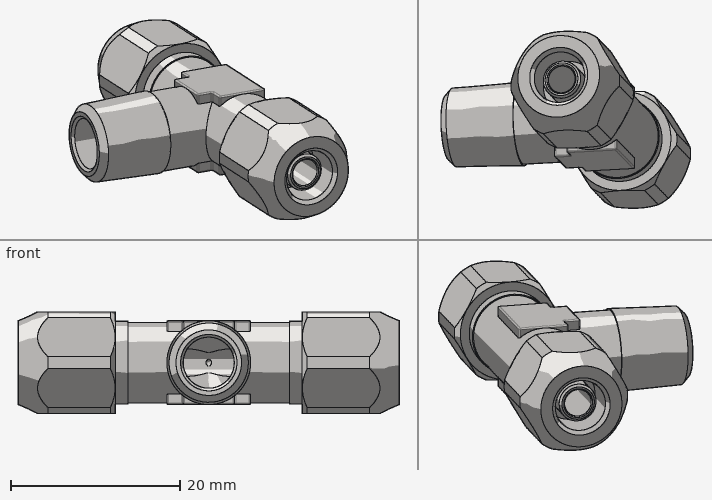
import cadquery as cq
import math

run_length = 45.0
body_radius = 4.75

nut_length = 11.48
nut_across_flats = 12.0
nut_corner_radius = 6.55
nut_nose_radius = 4.95
nut_nose_length = 3.5
nut_back_chamfer = 0.6
nut_bore_radius = 3.05
nut_bore_chamfer = 0.45
nut_bore_depth = 5.4

collar_radius = 4.9
collar_length = 1.5

insert_radius = 2.25
insert_tip_chamfer = 0.25
insert_recess = 1.5
insert_bore_chamfer = 0.15
run_bore_radius = 1.6

branch_length = 18.5
thread_start = 9.55
thread_radius = 4.95
thread_tip_radius = 4.7
branch_end_chamfer = 0.8
branch_bore_radius = 3.0
branch_bore_chamfer = 0.3
drill_point_angle = 118.0

pad_height = 4.95
pad_half_width = 4.95
pad_half_depth = 3.0
pad_stem_half_width = 3.0
pad_stem_reach = 4.95
pad_edge_radius = 0.2

half_run = run_length / 2
nut_back = half_run - nut_length


def run_profile(points):
    """Revolve (x, radius) points about the X axis."""
    return cq.Workplane("XY").polyline(points).close().revolve(360, (0, 0, 0), (1, 0, 0))


def branch_profile(points):
    """Revolve (radius, distance from the run axis) points about the branch axis."""
    placed = [(radius, -distance) for radius, distance in points]
    return cq.Workplane("XY").polyline(placed).close().revolve(360, (0, 0, 0), (0, 1, 0))


def make_nut():
    """Hexagonal nut on the +X end, with flats facing up and down and its bore around the insert."""
    hexagon = (
        cq.Workplane("YZ", origin=(nut_back, 0, 0))
        .polygon(6, nut_across_flats / math.cos(math.pi / 6))
        .extrude(nut_length)
    )
    envelope = run_profile([
        (nut_back, 0),
        (nut_back, nut_corner_radius - nut_back_chamfer),
        (nut_back + nut_back_chamfer, nut_corner_radius),
        (half_run - nut_nose_length, nut_corner_radius),
        (half_run, nut_nose_radius),
        (half_run, 0),
    ])
    insert_tip = half_run - insert_recess
    bore_floor = half_run - nut_bore_depth
    recess = run_profile([
        (bore_floor, insert_radius),
        (bore_floor, nut_bore_radius),
        (half_run - nut_bore_chamfer, nut_bore_radius),
        (half_run, nut_bore_radius + nut_bore_chamfer),
        (half_run, 0),
        (insert_tip - insert_bore_chamfer, 0),
        (insert_tip - insert_bore_chamfer, run_bore_radius),
        (insert_tip, run_bore_radius + insert_bore_chamfer),
        (insert_tip, insert_radius - insert_tip_chamfer),
        (insert_tip - insert_tip_chamfer, insert_radius),
    ])
    return hexagon.intersect(envelope).cut(recess)


def make_run():
    """Round body with a raised collar against each nut."""
    collar_start = nut_back - collar_length
    body = cq.Workplane("YZ").circle(body_radius).extrude(nut_back, both=True)
    for start in (collar_start, -nut_back):
        collar = cq.Workplane("YZ", origin=(start, 0, 0)).circle(collar_radius).extrude(collar_length)
        body = body.union(collar)
    return body


def make_branch():
    """Plain neck, tapered thread and chamfered end."""
    return branch_profile([
        (0, 0),
        (body_radius, 0),
        (body_radius, thread_start),
        (thread_radius, thread_start),
        (thread_tip_radius, branch_length - branch_end_chamfer),
        (thread_tip_radius - branch_end_chamfer, branch_length),
        (0, branch_length),
    ])


def make_pad():
    """T-shaped pad rising from the body, with rounded edges around its top."""
    wings = cq.Workplane("XY").rect(2 * pad_half_width, 2 * pad_half_depth).extrude(pad_height)
    stem = (
        cq.Workplane("XY", origin=(0, -pad_stem_reach / 2, 0))
        .rect(2 * pad_stem_half_width, pad_stem_reach)
        .extrude(pad_height)
    )
    return wings.union(stem).edges("|Z or >Z").fillet(pad_edge_radius)


def make_branch_bore():
    """Drilled branch hole with a conical bottom and a countersunk mouth."""
    point_depth = branch_bore_radius / math.tan(math.radians(drill_point_angle / 2))
    return branch_profile([
        (0, -point_depth),
        (branch_bore_radius, 0),
        (branch_bore_radius, branch_length - branch_bore_chamfer),
        (branch_bore_radius + branch_bore_chamfer, branch_length),
        (0, branch_length),
    ])


nut = make_nut()
pad = make_pad()
run_bore = cq.Workplane("YZ").circle(run_bore_radius).extrude(half_run, both=True)

result = (
    make_run()
    .union(make_branch())
    .union(pad)
    .union(pad.mirror("XY"))
    .union(nut)
    .union(nut.mirror("YZ"))
    .cut(run_bore)
    .cut(make_branch_bore())
)